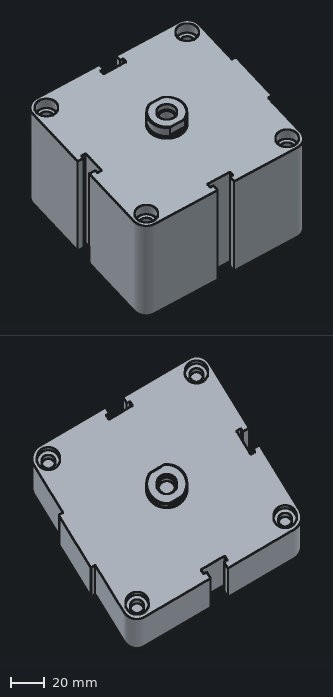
import cadquery as cq

HOUSING_SIDE = 122.0
HOUSING_HEIGHT = 81.5
CORNER_RADIUS = 9.0

CAP_THICKNESS = 19.5

SLOT_MOUTH_WIDTH = 12.0
SLOT_MOUTH_DEPTH = 4.5
SLOT_HEAD_WIDTH = 16.5
SLOT_DEPTH = 7.5
SLOT_SIDE_ANGLES = (-90, 0, 90)

RAIL_WIDTH = 37.5
RAIL_HEIGHT = 3.0
RAIL_EDGE_CHAMFER = 0.5

MOUNT_PITCH = 103.0
MOUNT_BORE_DIAMETER = 8.38
MOUNT_COUNTERBORE_DIAMETER = 14.0
MOUNT_COUNTERBORE_DEPTH = 8.5

ROD_DIAMETER = 25.0
ROD_PROJECTION = 10.0
ROD_SHOULDER_HEIGHT = 2.0
ROD_HEAD_DIAMETER = 24.5
ROD_TIP_CHAMFER = 0.5
FLATS_WIDTH = 22.0
FLATS_LENGTH = 7.0
ROD_BORE_DIAMETER = 10.2
ROD_COUNTERBORE_DIAMETER = 12.3
ROD_COUNTERBORE_DEPTH = 5.0
ROD_BORE_DEPTH = 15.0

CAP_SEAT_Z = HOUSING_HEIGHT - CAP_THICKNESS
ROD_TIP_Z = HOUSING_HEIGHT + ROD_PROJECTION
ROD_SHOULDER_Z = HOUSING_HEIGHT + ROD_SHOULDER_HEIGHT


def upright_cylinder(diameter, bottom_z, top_z):
    return cq.Workplane("XY").workplane(offset=bottom_z).circle(diameter / 2).extrude(top_z - bottom_z)


def t_slot():
    """Cutter for a T-slot in the -Y side, over the full housing height."""
    side_y = -HOUSING_SIDE / 2
    mouth = cq.Workplane("XY").box(
        SLOT_MOUTH_WIDTH, SLOT_DEPTH, HOUSING_HEIGHT, centered=(True, False, False)
    )
    head = cq.Workplane("XY").box(
        SLOT_HEAD_WIDTH, SLOT_DEPTH - SLOT_MOUTH_DEPTH, HOUSING_HEIGHT, centered=(True, False, False)
    )
    return mouth.union(head.translate((0, SLOT_MOUTH_DEPTH, 0))).translate((0, side_y, 0))


def rail():
    """Rail on the +Y side, over the full housing height."""
    block = cq.Workplane("XY").box(
        RAIL_WIDTH, RAIL_HEIGHT, HOUSING_HEIGHT, centered=(True, False, False)
    )
    return block.edges("|Z and >Y").chamfer(RAIL_EDGE_CHAMFER).translate((0, HOUSING_SIDE / 2, 0))


def make_housing():
    body = cq.Workplane("XY").box(
        HOUSING_SIDE, HOUSING_SIDE, HOUSING_HEIGHT, centered=(True, True, False)
    )
    body = body.edges("|Z").fillet(CORNER_RADIUS).union(rail())
    for angle in SLOT_SIDE_ANGLES:
        body = body.cut(t_slot().rotate((0, 0, 0), (0, 0, 1), angle))
    body = (
        body.faces(">Z")
        .workplane(origin=(0, 0, HOUSING_HEIGHT))
        .rect(MOUNT_PITCH, MOUNT_PITCH, forConstruction=True)
        .vertices()
        .cboreHole(MOUNT_BORE_DIAMETER, MOUNT_COUNTERBORE_DIAMETER, MOUNT_COUNTERBORE_DEPTH, CAP_THICKNESS)
    )
    return body.cut(upright_cylinder(ROD_DIAMETER, CAP_SEAT_Z, HOUSING_HEIGHT))


def make_rod():
    shank = upright_cylinder(ROD_DIAMETER, CAP_SEAT_Z, ROD_SHOULDER_Z)
    head = upright_cylinder(ROD_HEAD_DIAMETER, ROD_SHOULDER_Z, ROD_TIP_Z)
    rod = shank.union(head.faces(">Z").chamfer(ROD_TIP_CHAMFER))
    flats_bottom_z = ROD_TIP_Z - FLATS_LENGTH
    flats_stock = upright_cylinder(ROD_DIAMETER, flats_bottom_z, ROD_TIP_Z)
    between_flats = cq.Workplane("XY").box(
        FLATS_WIDTH, ROD_DIAMETER, FLATS_LENGTH, centered=(True, True, False)
    )
    rod = rod.cut(flats_stock.cut(between_flats.translate((0, 0, flats_bottom_z))))
    rod = rod.cut(upright_cylinder(ROD_BORE_DIAMETER, ROD_TIP_Z - ROD_BORE_DEPTH, ROD_TIP_Z))
    return rod.cut(upright_cylinder(ROD_COUNTERBORE_DIAMETER, ROD_TIP_Z - ROD_COUNTERBORE_DEPTH, ROD_TIP_Z))


housing = make_housing()
rod = make_rod()

result = cq.Compound.makeCompound([housing.val(), rod.val()])